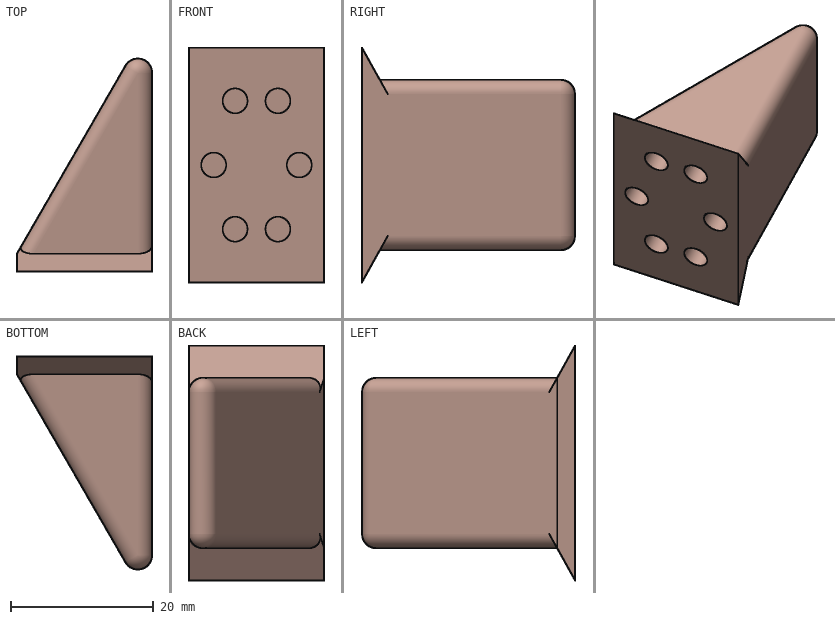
import cadquery as cq
import math

width = 19.0
height = 33.0
body_height = 23.95
base_depth = 2.5
slope_angle = 60.0
edge_radius = 2.0

hole_diameter = 3.5
hole_depth = 3.3
hole_row_z = 9.0
outer_row_spacing = 6.0
middle_row_spacing = 12.0

half_width = width / 2
sharp_tip_y = base_depth + width * math.tan(math.radians(slope_angle))


def extrude_along_z(points, length):
    """Extrude an XY outline symmetrically about Z = 0."""
    return cq.Workplane("XY").polyline(points).close().extrude(length / 2, both=True)


def make_wedge():
    """Triangular body with every edge rounded except those at the base."""
    outline = [(-half_width, base_depth), (half_width, base_depth), (half_width, sharp_tip_y)]
    return extrude_along_z(outline, body_height).edges("not(<Y)").fillet(edge_radius)


def make_flared_base():
    """Base tapering from the mounting face into the wedge, trimmed to the wedge flank."""
    taper_run = (height - body_height) / 2 / base_depth
    flare_depth = 2 * base_depth
    half_back = height / 2 - taper_run * flare_depth
    flare = (
        cq.Workplane("YZ")
        .polyline([(0, -height / 2), (flare_depth, -half_back), (flare_depth, half_back), (0, height / 2)])
        .close()
        .extrude(half_width, both=True)
    )
    outline = [
        (-half_width, 0),
        (half_width, 0),
        (half_width, sharp_tip_y),
        (-half_width, base_depth),
    ]
    return flare.intersect(extrude_along_z(outline, height))


def make_holes():
    """Blind holes in three rows, entering from the mounting face."""
    rows = [
        (-hole_row_z, outer_row_spacing),
        (0, middle_row_spacing),
        (hole_row_z, outer_row_spacing),
    ]
    centres = [(side * spacing / 2, z) for z, spacing in rows for side in (-1, 1)]
    return cq.Workplane("XZ").pushPoints(centres).circle(hole_diameter / 2).extrude(-hole_depth)


result = make_wedge().union(make_flared_base()).cut(make_holes())